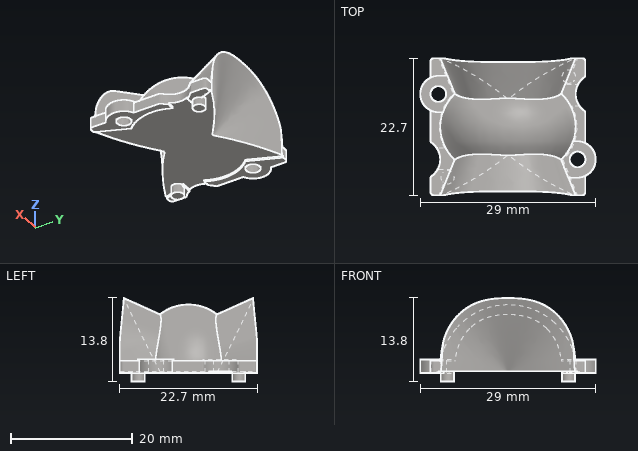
import cadquery as cq
import math

plate_length_x = 25.6
plate_width_y = 22.68
plate_height = 2.0
plate_corner_radius = 0.6

ear_x = 11.495
ear_y = 5.4
ear_radius = 3.0
ear_hole_diameter = 2.55
ear_height = plate_height + 0.25
scoop_radius = 3.4
scoop_depth_x = 11.2
scoop_edge_radius = 0.5
notch_offset_y = 5.25
notch_width = 3.5

peg_x = 10.0
peg_y = 8.3
peg_diameter = 2.2
peg_length = 1.4

barrel_radius = 11.34
barrel_crown_radius = 7.6
barrel_half_length = 6.5

underside_recess = 0.3
end_y = plate_width_y / 2
arch_half_width = 11.45
arch_height = 12.7
arch_points = [(11.15, 2.2), (10.75, 4.95), (8.9, 9.05), (5.55, 11.75)]
flare_root_y = 4.0
flare_root_scale = 0.74

horn_half_width = 11.05
horn_height = 13.8
horn_side_points = [(10.9, 2.2), (10.7, 4.95), (9.4, 9.5), (6.2, 12.65)]
horn_mid_depth = 2.8
horn_mid_width_scale = 0.51
horn_mid_height_scale = 0.57
horn_tip_depth = 6.6
horn_tip_scale = 0.02


cutter_size = 2 * plate_length_x


def arch(y, half_width, height, side_points, width_scale, height_scale):
    """Closed arch outline on the plane at the given Y, standing on Z = 0."""
    right = [(half_width, 0)] + side_points
    left = [(-x, z) for x, z in reversed(right)]
    points = [(x * width_scale, z * height_scale) for x, z in right + [(0, height)] + left]
    sketch = cq.Workplane("XZ", origin=(0, y, 0)).moveTo(*points[0])
    return sketch.spline(points[1:], includeCurrent=True).close().wire().val()


def both_ends(shape):
    """The shape and its half turn about the Z axis."""
    return shape.union(shape.rotate((0, 0, 0), (0, 0, 1), 180))


def make_barrel():
    """Upper half of a barrel lying along Y."""
    sagitta = barrel_crown_radius - math.sqrt(barrel_crown_radius**2 - barrel_half_length**2)
    end_radius = barrel_radius - sagitta
    profile = (
        cq.Workplane("XY")
        .moveTo(0, -barrel_half_length)
        .lineTo(end_radius, -barrel_half_length)
        .threePointArc((barrel_radius, 0), (end_radius, barrel_half_length))
        .lineTo(0, barrel_half_length)
        .close()
    )
    return profile.revolve(180, (0, 0, 0), (0, -1, 0))


def make_flare():
    """Straight-sided flare at the -Y end, rooted inside the barrel."""
    sections = [(-flare_root_y, flare_root_scale), (-end_y, 1)]
    wires = [arch(y, arch_half_width, arch_height, arch_points, scale, scale) for y, scale in sections]
    return cq.Workplane(cq.Solid.makeLoft(wires, True))


def make_horn():
    """Horn-shaped hollow of the -Y end, narrowing to a near point."""
    sections = [
        (0, 1, 1),
        (horn_mid_depth, horn_mid_width_scale, horn_mid_height_scale),
        (horn_tip_depth, horn_tip_scale, horn_tip_scale),
    ]
    wires = [
        arch(depth - end_y, horn_half_width, horn_height, horn_side_points, width_scale, height_scale)
        for depth, width_scale, height_scale in sections
    ]
    return cq.Workplane(cq.Solid.makeLoft(wires))


def make_ear():
    """Ear at -X, +Y, joined to the centre by a straight-sided neck."""
    pad = cq.Workplane("XY").center(-ear_x, ear_y).circle(ear_radius).extrude(ear_height)
    neck = (
        cq.Workplane("XY")
        .center(-ear_x + ear_radius / 2, ear_y)
        .rect(ear_radius, 2 * ear_radius)
        .extrude(ear_height)
    )
    return pad.union(neck)


def make_plate():
    """Plate with its ears, scoops and shallow underside notches."""
    plate = cq.Workplane("XY").box(plate_length_x, plate_width_y, plate_height, centered=(True, True, False))
    plate = plate.edges("|Z").fillet(plate_corner_radius)
    scoop = (
        cq.Workplane("XY")
        .center(-scoop_depth_x - scoop_radius, -ear_y)
        .circle(scoop_radius)
        .extrude(plate_height)
    )
    plate = plate.cut(both_ends(scoop))
    scoop_chord = math.sqrt(scoop_radius**2 - (scoop_depth_x + scoop_radius - plate_length_x / 2) ** 2)
    for side in (-1, 1):
        for edge_y in (ear_y - scoop_chord, ear_y + scoop_chord):
            corner = cq.selectors.NearestToPointSelector(
                (side * plate_length_x / 2, side * edge_y, plate_height / 2)
            )
            plate = plate.edges("|Z").edges(corner).fillet(scoop_edge_radius)
    notch = (
        cq.Workplane("XY")
        .center(-plate_length_x / 4, -notch_offset_y)
        .rect(plate_length_x / 2, notch_width)
        .extrude(underside_recess)
    )
    return plate.union(both_ends(make_ear())).cut(both_ends(notch))


def make_pegs():
    return (
        cq.Workplane("XY", origin=(0, 0, -peg_length))
        .pushPoints([(-peg_x, -peg_y), (peg_x, peg_y)])
        .circle(peg_diameter / 2)
        .extrude(peg_length + plate_height / 2)
    )


def make_ear_holes():
    return (
        cq.Workplane("XY")
        .pushPoints([(-ear_x, ear_y), (ear_x, -ear_y)])
        .circle(ear_hole_diameter / 2)
        .extrude(ear_height)
    )


centre = make_barrel().union(both_ends(make_flare()))
recess = cq.Workplane("XY").rect(cutter_size, cutter_size).extrude(underside_recess)
result = (
    make_plate()
    .cut(centre)
    .union(centre.cut(recess))
    .cut(both_ends(make_horn()))
    .union(make_pegs())
    .cut(make_ear_holes())
)